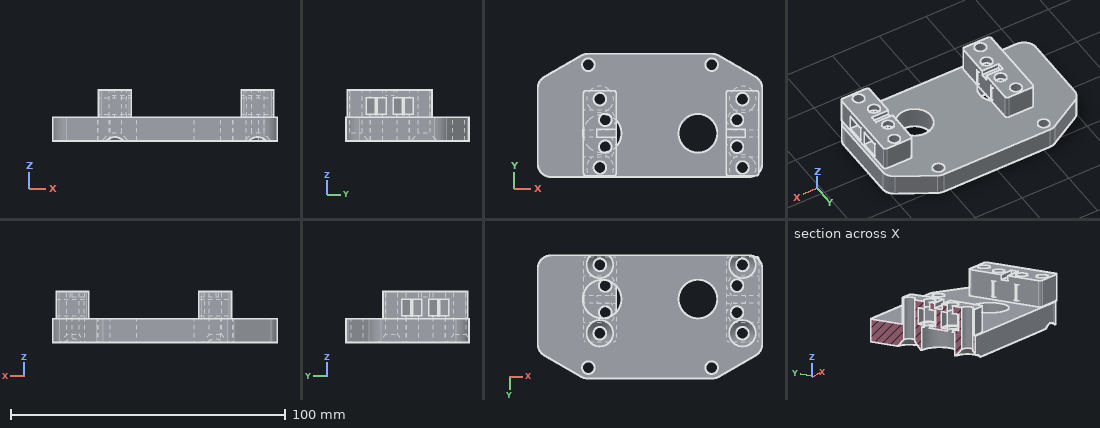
import cadquery as cq
import math

plate_length = 82.0
plate_width = 45.0
plate_height = 8.8
corner_radius = 5.0
rear_cut_width = 9.8
rear_cut_length = rear_cut_width / math.tan(math.radians(30))

block_axis_y = 16.0
block_length = 12.0
block_width = 31.0
block_height = 9.9
block_corner_radius = 1.0
left_block_inner_x = -12.3
right_block_inner_x = 27.7
total_height = plate_height + block_height

hole_diameter = 4.5
bore_diameter = 14.0
bore_x = 17.5
rear_hole_x = 22.5
rear_hole_edge_distance = 4.0
outer_hole_inset = block_length / 2
outer_hole_offset_y = 12.5
inner_hole_inset = 4.0
inner_hole_offset_y = 4.9
countersink_diameter = 9.7
countersink_angle = 82

notch_length = 7.05
notch_width = 2.95
notch_depth = 2.0
nut_flats = 7.2
nut_pocket_floor = plate_height + 1.0
nut_pocket_height = 6.0


def make_plate():
    half = plate_length / 2
    side_end_y = plate_width - rear_cut_width
    rear_end_x = half - rear_cut_length
    outline = [
        (-half, 0),
        (half, 0),
        (half, side_end_y),
        (rear_end_x, plate_width),
        (-rear_end_x, plate_width),
        (-half, side_end_y),
    ]
    plate = cq.Workplane("XY").polyline(outline).close().extrude(plate_height)
    return plate.edges("|Z").fillet(corner_radius)


def make_block(inner_x, outward):
    """Block whose inner face is at inner_x; outward is the X sign away from that face."""
    return (
        cq.Workplane("XY", origin=(inner_x + outward * block_length / 2, block_axis_y, plate_height))
        .rect(block_length, block_width)
        .extrude(block_height)
        .edges("|Z")
        .fillet(block_corner_radius)
    )


def make_notch(inner_x, outward):
    return (
        cq.Workplane("XY", origin=(inner_x + outward * notch_length / 2, block_axis_y, total_height))
        .rect(notch_length, notch_width)
        .extrude(-notch_depth)
    )


def make_nut_pocket(inner_x, outward, y):
    """Slot open on the outer face, ending in the point of a hexagon centred on the inner hole."""
    tip_reach = nut_flats / math.sqrt(3)
    shoulder_reach = tip_reach / 2
    half_width = nut_flats / 2
    hole_x = inner_x + outward * inner_hole_inset
    outer_x = inner_x + outward * block_length
    outline = [
        (outer_x, y - half_width),
        (hole_x - outward * shoulder_reach, y - half_width),
        (hole_x - outward * tip_reach, y),
        (hole_x - outward * shoulder_reach, y + half_width),
        (outer_x, y + half_width),
    ]
    return (
        cq.Workplane("XY", origin=(0, 0, nut_pocket_floor))
        .polyline(outline)
        .close()
        .extrude(nut_pocket_height)
    )


def make_holes(points, diameter, bottom=0):
    """Vertical cylinders from the given bottom height up to the top of the blocks."""
    sketch = cq.Workplane("XY", origin=(0, 0, bottom)).pushPoints(points).circle(diameter / 2)
    return sketch.extrude(total_height - bottom)


def make_countersink(x, y):
    """Cone on the underside, narrowing upwards to a point."""
    radius = countersink_diameter / 2
    depth = radius / math.tan(math.radians(countersink_angle / 2))
    return cq.Workplane("XY").add(cq.Solid.makeCone(radius, 0, depth, pnt=cq.Vector(x, y, 0)))


rear_hole_y = plate_width - rear_hole_edge_distance
result = make_plate()
result = result.cut(make_holes([(-bore_x, block_axis_y), (bore_x, block_axis_y)], bore_diameter))
result = result.cut(
    make_holes([(-rear_hole_x, rear_hole_y), (rear_hole_x, rear_hole_y)], hole_diameter)
)

for inner_x, outward, inner_hole_bottom in [
    (left_block_inner_x, -1, plate_height),
    (right_block_inner_x, 1, 0),
]:
    result = result.union(make_block(inner_x, outward))
    result = result.cut(make_notch(inner_x, outward))
    for side in (-1, 1):
        outer_hole = (inner_x + outward * outer_hole_inset, block_axis_y + side * outer_hole_offset_y)
        inner_hole = (inner_x + outward * inner_hole_inset, block_axis_y + side * inner_hole_offset_y)
        result = result.cut(make_holes([outer_hole], hole_diameter))
        result = result.cut(make_holes([inner_hole], hole_diameter, inner_hole_bottom))
        result = result.cut(make_countersink(*outer_hole))
        result = result.cut(make_nut_pocket(inner_x, outward, inner_hole[1]))